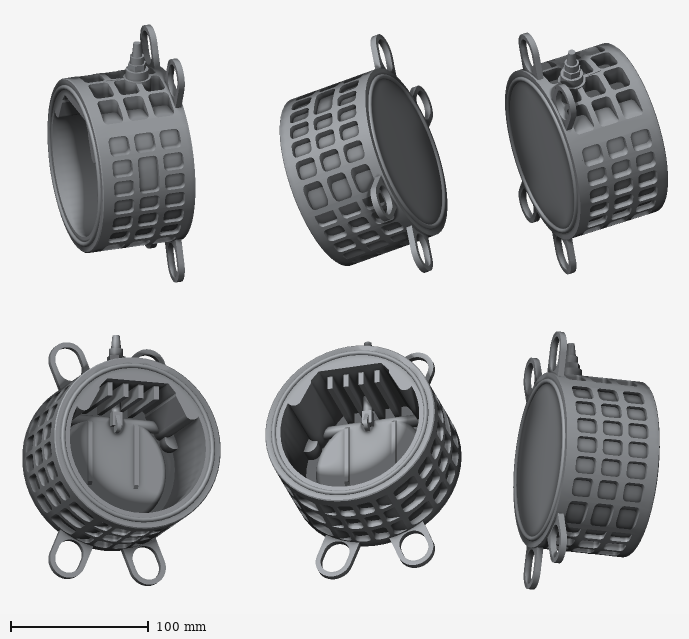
import cadquery as cq
import math


OVERALL_HEIGHT = 179.2
SHELL_RADIUS = 64.0
BORE_RADIUS = 52.3
SHELL_HALF_LENGTH = 35.3
FRONT_CHAMFER = 0.7
BEAD_SECTION_RADIUS = 1.8
BEAD_RING_RADIUS = 57.5
END_WALL_FRONT_Y = 32.0

ROOF_Z = 46.2
ROOF_HALF_WIDTH = 23.5
SHOULDER_X = 29.4
SHOULDER_TOP_Z = 39.6
SHOULDER_BOTTOM_Z = 37.5
WING_TIP_START = (36.5, 24.4)
WING_TIP_LOW = (41.8, 20.8)
WING_TIP_END = (46.8, 24.0)
BEARING_START = (40.5, 21.3)
BEARING_LOW = (43.4, 13.8)
BEARING_END = (50.7, 13.3)

ROOF_RIB_WIDTH = 3.8
ROOF_RIB_CENTRES = (5.7, 17.7)
ROOF_RIB_BOTTOM_Z = 36.2
ROOF_RIB_FRONT_Y = -25.6

POCKET_LENGTH = 15.2
POCKET_CORNER = 3.2
ROW_CENTRES_Y = (19.9, 0.45, -19.0)
TOP_POCKET_FLOOR_Z = 49.3
TOP_POCKET_WIDTH = 18.5
TOP_POCKET_CENTRES_X = (-31.7, -10.8, 10.8, 31.7)
SIDE_POCKET_FLOOR_RADIUS = 59.1
SMALL_POCKET_WIDTH = 11.6
SMALL_POCKET_PITCH = 14.5
SIDE_POCKET_COUNT = 7
SIDE_POCKET_TOP_CENTRE_Z = 36.2
TALL_POCKET_BOTTOM_Z = 1.3
TALL_POCKET_TOP_Z = 25.3
BOTTOM_POCKET_FLOOR_Z = -58.6
BOTTOM_POCKET_STEPS = (-1.5, -0.5, 0.5, 1.5)

LUG_ANGLE = 22.5
LUG_RADIUS = 13.6
LUG_CENTRE_DISTANCE = 80.5
LUG_HOLE_RADIUS = 9.9
LUG_SLOT_SHIFT = 5.5
LUG_BACK_Y = 33.7
LUG_THICKNESS = 4.5

PROBE_Y = 12.0
BOSS_RADIUS = 10.0
BOSS_TOP_Z = 64.2
POINTER_BACK_Y = -1.0
POINTER_TIP_Y = -11.5
POINTER_HALF_WIDTH = 1.0
POINTER_TOP_Z = 64.5
COLLAR_RADIUS = 8.2
COLLAR_TOP_Z = 70.6
HEX_ACROSS_FLATS = 11.8
HEX_TOP_Z = 75.5
NECK_RADIUS = 5.2
NECK_TOP_Z = 81.0
CABLE_BASE_RADIUS = 3.8
CABLE_TIP_RADIUS = 2.7
STEM_RADIUS = 3.4
HEAD_WIDTH = 7.3
HEAD_DEPTH = 6.5
HEAD_TOP_Z = 33.9
HEAD_BOTTOM_Z = 23.7
LEVER_WIDTH = 3.0
LEVER_REACH = 4.1
LEVER_TOP_Z = 31.4
LEVER_NOSE_TOP_Z = 24.0
LEVER_NOSE_LOW_Z = 22.5
LEVER_BOTTOM_Z = 18.5

FLAP_FACE_Y = 19.7
FLAP_RADIUS = 42.3
FLAP_EDGE_FILLET = 4.0
FLAP_CENTRE_Z = -6.0
SHAFT_RADIUS = 4.5
SHAFT_Z = 28.7
SHAFT_HALF_LENGTH = 41.2
SHAFT_Y = FLAP_FACE_Y + SHAFT_RADIUS
FLAP_THICKNESS = 2 * SHAFT_RADIUS
FLAP_RIB_X = 17.7
FLAP_RIB_WIDTH = 3.2
FLAP_RIB_HEIGHT = 2.3
FLAP_RIB_BOTTOM_Z = -19.9

lug_reach = LUG_CENTRE_DISTANCE * math.cos(math.radians(LUG_ANGLE)) + LUG_RADIUS
PROBE_TOP_Z = OVERALL_HEIGHT - lug_reach


def box(x_range, y_range, z_range):
    """Box between two limits on each axis."""
    (x0, x1), (y0, y1), (z0, z1) = x_range, y_range, z_range
    return cq.Workplane("XY").box(x1 - x0, y1 - y0, z1 - z0, centered=False).translate((x0, y0, z0))


def facing_front(back_y):
    """Sketch plane across the bore, with local x = X and local y = Z, extruding toward -Y."""
    return cq.Workplane("XZ", origin=(0, back_y, 0))


def cylinder_along_y(radius, front_y, back_y):
    return facing_front(back_y).circle(radius).extrude(back_y - front_y)


def cylinder_up(radius, bottom_z, top_z):
    """Cylinder on the probe axis."""
    plane = cq.Workplane("XY", origin=(0, PROBE_Y, bottom_z))
    return plane.circle(radius).extrude(top_z - bottom_z)


def both_sides(shape):
    """A shape together with its mirror image across the YZ plane."""
    return shape.union(shape.mirror("YZ"))




def shell():
    """Outer tube with a rounded bead on each end face."""
    tube = cylinder_along_y(SHELL_RADIUS, -SHELL_HALF_LENGTH, SHELL_HALF_LENGTH)
    tube = tube.faces("<Y").edges().chamfer(FRONT_CHAMFER)
    tube = tube.cut(cylinder_along_y(BORE_RADIUS, -SHELL_HALF_LENGTH, END_WALL_FRONT_Y))
    for end_y in (-SHELL_HALF_LENGTH, SHELL_HALF_LENGTH):
        bead = cq.Solid.makeTorus(
            BEAD_RING_RADIUS, BEAD_SECTION_RADIUS, cq.Vector(0, end_y, 0), cq.Vector(0, 1, 0)
        )
        tube = tube.union(cq.Workplane(bead))
    return tube


def roof():
    """Block that fills the top of the bore, with a wing down each side."""
    outside = SHELL_RADIUS
    half = (
        facing_front(END_WALL_FRONT_Y)
        .moveTo(0, ROOF_Z)
        .lineTo(ROOF_HALF_WIDTH, ROOF_Z)
        .lineTo(SHOULDER_X, SHOULDER_TOP_Z)
        .lineTo(SHOULDER_X, SHOULDER_BOTTOM_Z)
        .lineTo(*WING_TIP_START)
        .threePointArc(WING_TIP_LOW, WING_TIP_END)
        .lineTo(outside, WING_TIP_END[1])
        .lineTo(outside, outside)
        .lineTo(0, outside)
        .close()
        .extrude(END_WALL_FRONT_Y + SHELL_HALF_LENGTH)
    )
    return both_sides(half).intersect(inside_of_shell())


def bearing_lugs():
    """Lower lobes behind the wing tips that carry the ends of the hinge shaft."""
    outside = SHELL_RADIUS
    lobe = (
        facing_front(END_WALL_FRONT_Y)
        .moveTo(*BEARING_START)
        .threePointArc(BEARING_LOW, BEARING_END)
        .lineTo(outside, BEARING_END[1])
        .lineTo(outside, SHAFT_Z)
        .lineTo(BEARING_START[0], SHAFT_Z)
        .close()
        .extrude(END_WALL_FRONT_Y - FLAP_FACE_Y)
    )
    return both_sides(lobe).intersect(inside_of_shell())


def inside_of_shell():
    """The bore plus a little of the wall, so that inner features fuse with the shell."""
    radius = (BORE_RADIUS + BEAD_RING_RADIUS) / 2
    return cylinder_along_y(radius, -SHELL_HALF_LENGTH, END_WALL_FRONT_Y)


def roof_ribs():
    """Fins that hang under the roof and run back to the end wall."""
    ribs = cq.Workplane("XY")
    for centre_x in ROOF_RIB_CENTRES:
        ribs = ribs.add(
            box(
                (centre_x - ROOF_RIB_WIDTH / 2, centre_x + ROOF_RIB_WIDTH / 2),
                (ROOF_RIB_FRONT_Y, END_WALL_FRONT_Y),
                (ROOF_RIB_BOTTOM_Z, ROOF_Z),
            )
        )
    return both_sides(ribs.combine())


def top_pockets():
    """Vertical pockets with a flat floor above the roof."""
    centres = [(x, y) for x in TOP_POCKET_CENTRES_X for y in ROW_CENTRES_Y]
    return (
        cq.Workplane("XY", origin=(0, 0, TOP_POCKET_FLOOR_Z))
        .pushPoints(centres)
        .rect(TOP_POCKET_WIDTH, POCKET_LENGTH)
        .extrude(SHELL_RADIUS - TOP_POCKET_FLOOR_Z)
        .edges("|Z")
        .fillet(POCKET_CORNER)
    )


def side_pocket(row_y, bottom_z, top_z):
    """Pocket sunk sideways into the +X side of the shell."""
    pocket = box(
        (0, SHELL_RADIUS),
        (row_y - POCKET_LENGTH / 2, row_y + POCKET_LENGTH / 2),
        (bottom_z, top_z),
    )
    return pocket.edges("|X").fillet(POCKET_CORNER)


def side_pockets():
    """Pockets down both sides, with a floor concentric with the bore."""
    pockets = cq.Workplane("XY")
    for row_y in ROW_CENTRES_Y:
        for index in range(SIDE_POCKET_COUNT):
            bottom_z = SIDE_POCKET_TOP_CENTRE_Z - index * SMALL_POCKET_PITCH - SMALL_POCKET_WIDTH / 2
            pockets = pockets.add(side_pocket(row_y, bottom_z, bottom_z + SMALL_POCKET_WIDTH))
    tall_pocket = side_pocket(ROW_CENTRES_Y[1], TALL_POCKET_BOTTOM_Z, TALL_POCKET_TOP_Z)
    core = cylinder_along_y(SIDE_POCKET_FLOOR_RADIUS, -SHELL_HALF_LENGTH, SHELL_HALF_LENGTH)
    return both_sides(pockets.combine()).union(tall_pocket).cut(core)


def bottom_pockets():
    """Vertical pockets with a flat floor below the bore."""
    centres = [(step * SMALL_POCKET_PITCH, y) for step in BOTTOM_POCKET_STEPS for y in ROW_CENTRES_Y]
    return (
        cq.Workplane("XY", origin=(0, 0, -SHELL_RADIUS))
        .pushPoints(centres)
        .rect(SMALL_POCKET_WIDTH, POCKET_LENGTH)
        .extrude(SHELL_RADIUS + BOTTOM_POCKET_FLOOR_Z)
        .edges("|Z")
        .fillet(POCKET_CORNER)
    )


def probe_boss():
    return cylinder_up(BOSS_RADIUS, ROOF_Z, BOSS_TOP_Z)


def flow_pointer():
    """Raised wedge on the web in front of the boss."""
    return (
        cq.Workplane("XY", origin=(0, 0, TOP_POCKET_FLOOR_Z))
        .moveTo(-POINTER_HALF_WIDTH, POINTER_BACK_Y)
        .lineTo(POINTER_HALF_WIDTH, POINTER_BACK_Y)
        .lineTo(0, POINTER_TIP_Y)
        .close()
        .extrude(POINTER_TOP_Z - TOP_POCKET_FLOOR_Z)
    )


def lug():
    """Slotted lug standing straight up from the shell."""
    length = LUG_CENTRE_DISTANCE - BEAD_RING_RADIUS
    plane = facing_front(LUG_BACK_Y)
    arm = plane.center(0, LUG_CENTRE_DISTANCE - length / 2).rect(2 * LUG_RADIUS, length)
    body = arm.extrude(LUG_THICKNESS)
    head = facing_front(LUG_BACK_Y).center(0, LUG_CENTRE_DISTANCE)
    body = body.union(head.circle(LUG_RADIUS).extrude(LUG_THICKNESS))
    slot = (
        facing_front(LUG_BACK_Y)
        .center(0, LUG_CENTRE_DISTANCE - LUG_SLOT_SHIFT / 2)
        .slot2D(LUG_SLOT_SHIFT + 2 * LUG_HOLE_RADIUS, 2 * LUG_HOLE_RADIUS, 90)
        .extrude(LUG_THICKNESS)
    )
    core = cylinder_along_y(BEAD_RING_RADIUS, -SHELL_HALF_LENGTH, SHELL_HALF_LENGTH)
    return body.cut(slot).cut(core)


def make_housing():
    housing = shell().union(roof()).union(bearing_lugs()).union(roof_ribs())
    housing = housing.cut(top_pockets()).cut(side_pockets()).cut(bottom_pockets())
    housing = housing.union(probe_boss()).union(flow_pointer())
    for angle in (LUG_ANGLE, -LUG_ANGLE, 180 - LUG_ANGLE, 180 + LUG_ANGLE):
        housing = housing.union(lug().rotate((0, 0, 0), (0, 1, 0), angle))
    housing = housing.cut(cylinder_up(STEM_RADIUS, ROOF_Z, BOSS_TOP_Z))
    return housing.cut(hinge_shaft())




def hinge_shaft():
    plane = cq.Workplane("YZ", origin=(-SHAFT_HALF_LENGTH, SHAFT_Y, SHAFT_Z))
    return plane.circle(SHAFT_RADIUS).extrude(2 * SHAFT_HALF_LENGTH)


def flap_rib():
    """Rib on the flap face with both ends sloped."""
    front_y = FLAP_FACE_Y - FLAP_RIB_HEIGHT
    return (
        cq.Workplane("YZ", origin=(FLAP_RIB_X - FLAP_RIB_WIDTH / 2, 0, 0))
        .moveTo(SHAFT_Y, SHAFT_Z)
        .lineTo(FLAP_FACE_Y, SHAFT_Z)
        .lineTo(front_y, SHAFT_Z - FLAP_RIB_HEIGHT)
        .lineTo(front_y, FLAP_RIB_BOTTOM_Z + FLAP_RIB_HEIGHT)
        .lineTo(FLAP_FACE_Y, FLAP_RIB_BOTTOM_Z)
        .lineTo(SHAFT_Y, FLAP_RIB_BOTTOM_Z)
        .close()
        .extrude(FLAP_RIB_WIDTH)
    )


def make_flap():
    back_y = FLAP_FACE_Y + FLAP_THICKNESS
    disc = cylinder_along_y(FLAP_RADIUS, FLAP_FACE_Y, back_y)
    disc = disc.faces("<Y").edges().fillet(FLAP_EDGE_FILLET).translate((0, 0, FLAP_CENTRE_Z))
    above_shaft = box(
        (-FLAP_RADIUS, FLAP_RADIUS), (FLAP_FACE_Y, back_y), (SHAFT_Z, SHAFT_Z + FLAP_RADIUS)
    )
    return disc.cut(above_shaft).union(hinge_shaft()).union(both_sides(flap_rib()))




def probe_lever():
    """Lever that leans out of the front of the probe head and curls under it."""
    head_front_y = PROBE_Y - HEAD_DEPTH / 2
    nose_y = head_front_y - LEVER_REACH
    bend = math.sqrt(0.5)
    drop = LEVER_NOSE_LOW_Z - LEVER_BOTTOM_Z
    curl = (head_front_y - LEVER_REACH * bend, LEVER_NOSE_LOW_Z - drop * bend)
    return (
        cq.Workplane("YZ", origin=(-LEVER_WIDTH / 2, 0, 0))
        .moveTo(PROBE_Y, LEVER_TOP_Z)
        .lineTo(head_front_y, LEVER_TOP_Z)
        .lineTo(nose_y, LEVER_NOSE_TOP_Z)
        .lineTo(nose_y, LEVER_NOSE_LOW_Z)
        .threePointArc(curl, (head_front_y, LEVER_BOTTOM_Z))
        .lineTo(PROBE_Y, LEVER_BOTTOM_Z)
        .close()
        .extrude(LEVER_WIDTH)
    )


def make_probe():
    hex_diameter = HEX_ACROSS_FLATS / math.cos(math.radians(30))
    hexagon = (
        cq.Workplane("XY")
        .polygon(6, hex_diameter)
        .extrude(HEX_TOP_Z - COLLAR_TOP_Z)
        .rotate((0, 0, 0), (0, 0, 1), 30)
        .translate((0, PROBE_Y, COLLAR_TOP_Z))
    )
    cable_end = cq.Solid.makeCone(
        CABLE_BASE_RADIUS, CABLE_TIP_RADIUS, PROBE_TOP_Z - NECK_TOP_Z, cq.Vector(0, PROBE_Y, NECK_TOP_Z)
    )
    head = box(
        (-HEAD_WIDTH / 2, HEAD_WIDTH / 2),
        (PROBE_Y - HEAD_DEPTH / 2, PROBE_Y + HEAD_DEPTH / 2),
        (HEAD_BOTTOM_Z, HEAD_TOP_Z),
    )
    probe = cylinder_up(STEM_RADIUS, HEAD_TOP_Z, BOSS_TOP_Z)
    probe = probe.union(cylinder_up(COLLAR_RADIUS, BOSS_TOP_Z, COLLAR_TOP_Z)).union(hexagon)
    probe = probe.union(cylinder_up(NECK_RADIUS, HEX_TOP_Z, NECK_TOP_Z)).union(cq.Workplane(cable_end))
    return probe.union(head).union(probe_lever())


housing = make_housing()
flap = make_flap()
probe = make_probe()

result = cq.Compound.makeCompound([housing.val(), flap.val(), probe.val()])